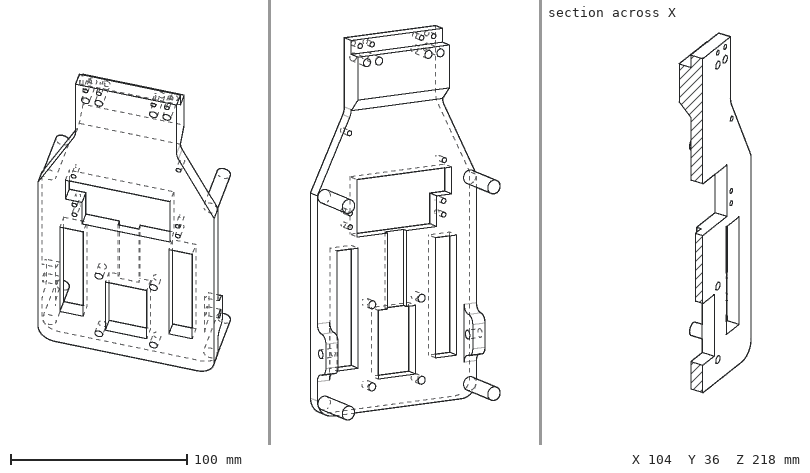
import cadquery as cq


plate_height = 218.0
plate_width = 104.0
plate_thickness = 8.0
neck_width = 59.7
shoulder_z = 130.0
neck_z = 175.3
corner_radius = 10.0

total_depth = 36.0
post_diameter = 8.0
post_spacing_x = 95.0
lower_post_z = 8.3
upper_post_z = 129.0

block_depth = 7.8
block_top_z = 210.0
block_lower_z = 184.9

ear_thickness = 8.0
ear_depth = 9.8
ear_height = 24.0
ear_center_z = 38.2
ear_radius = ear_depth / 2
ear_hole_diameter = 5.0
ear_hole_offset = 4.0

slot_width = 13.7
slot_inner_x = 25.3
slot_bottom_z = 26.0
slot_top_z = 96.1
center_window_width = 24.5
center_window_bottom_z = 18.0
center_window_top_z = 58.2
main_window_half_width = 26.0
main_window_bottom_z = 102.7
main_window_top_z = 136.2
main_window_step_x = -35.8
main_window_step_z = 120.5

channel_width = 12.2
channel_depth = 3.0

small_hole_diameter = 2.8
large_hole_diameter = 4.5
inner_hole_x = 16.1
outer_hole_x = 24.0
neck_small_hole_z = 214.0
neck_large_hole_z = 206.0
motor_hole_zs = (14.0, 62.0)
bracket_hole_x = 30.5
bracket_hole_zs = (109.0, 117.0)
diagonal_hole_x = 31.0
diagonal_hole_left_z = 140.8
diagonal_hole_right_z = 164.0


def box(x_min, x_max, y_min, y_max, z_min, z_max):
    """Box between the given limits."""
    size = (x_max - x_min, y_max - y_min, z_max - z_min)
    return cq.Workplane("XY").box(*size, centered=False).translate((x_min, y_min, z_min))


def cylinders(points, diameter, y_min, y_max):
    """Cylinders along Y, centered on the given (x, z) points."""
    plane = cq.Workplane("XZ", origin=(0, y_min, 0))
    return plane.pushPoints(points).circle(diameter / 2).extrude(y_min - y_max)


def window(x_min, x_max, z_min, z_max):
    """Cutter for a rectangular opening through the plate."""
    return box(x_min, x_max, 0, plate_thickness, z_min, z_max)


def make_plate():
    """Plate with rounded bottom corners and rounded inner corners below the neck."""
    half_width = plate_width / 2
    half_neck = neck_width / 2
    outline = [
        (-half_width, 0),
        (half_width, 0),
        (half_width, shoulder_z),
        (half_neck, neck_z),
        (half_neck, plate_height),
        (-half_neck, plate_height),
        (-half_neck, neck_z),
        (-half_width, shoulder_z),
    ]
    plate = cq.Workplane("XZ").polyline(outline).close().extrude(-plate_thickness)
    rounded_corners = [
        (-half_width, 0),
        (half_width, 0),
        (-half_neck, neck_z),
        (half_neck, neck_z),
    ]
    for x, z in rounded_corners:
        middle = (x, plate_thickness / 2, z)
        plate = plate.edges(cq.selectors.NearestToPointSelector(middle)).fillet(corner_radius)
    return plate


def make_neck_block():
    """Block as wide as the neck, with a 45 degree slope underneath."""
    profile = [
        (0, block_top_z),
        (plate_thickness + block_depth, block_top_z),
        (plate_thickness + block_depth, block_lower_z),
        (plate_thickness, block_lower_z - block_depth),
        (0, block_lower_z - block_depth),
    ]
    plane = cq.Workplane("YZ", origin=(-neck_width / 2, 0, 0))
    return plane.polyline(profile).close().extrude(neck_width)


def make_ear(x_min):
    """Ear with rounded tips that blends into the back face with arcs of the same radius."""
    root_y = plate_thickness
    middle_y = root_y + ear_radius
    tip_y = root_y + ear_depth
    bottom_z = ear_center_z - ear_height / 2
    top_z = ear_center_z + ear_height / 2
    ear = (
        cq.Workplane("YZ", origin=(x_min, 0, 0))
        .moveTo(root_y, bottom_z - ear_radius)
        .radiusArc((middle_y, bottom_z), ear_radius)
        .radiusArc((tip_y, bottom_z + ear_radius), -ear_radius)
        .lineTo(tip_y, top_z - ear_radius)
        .radiusArc((middle_y, top_z), -ear_radius)
        .radiusArc((root_y, top_z + ear_radius), ear_radius)
        .lineTo(0, top_z + ear_radius)
        .lineTo(0, bottom_z - ear_radius)
        .close()
        .extrude(ear_thickness)
    )
    hole = (
        cq.Workplane("YZ", origin=(x_min, 0, 0))
        .center(root_y + ear_hole_offset, ear_center_z)
        .circle(ear_hole_diameter / 2)
        .extrude(ear_thickness)
    )
    return ear.cut(hole)


def make_windows():
    """Cutter for all rectangular openings and the channel in the back face."""
    half_center = center_window_width / 2
    half_channel = channel_width / 2
    slot_outer_x = slot_inner_x + slot_width
    main = window(-main_window_half_width, main_window_half_width, main_window_bottom_z, main_window_top_z)
    step = window(main_window_step_x, 0, main_window_step_z, main_window_top_z)
    center = window(-half_center, half_center, center_window_bottom_z, center_window_top_z)
    left_slot = window(-slot_outer_x, -slot_inner_x, slot_bottom_z, slot_top_z)
    right_slot = window(slot_inner_x, slot_outer_x, slot_bottom_z, slot_top_z)
    channel = box(
        -half_channel, half_channel,
        plate_thickness - channel_depth, plate_thickness,
        center_window_top_z, main_window_bottom_z,
    )
    return main.union(step).union(center).union(left_slot).union(right_slot).union(channel)


def make_holes():
    """Cutter for all round holes along Y."""
    sides = (-1, 1)
    neck_xs = [side * x for side in sides for x in (inner_hole_x, outer_hole_x)]
    small_points = [(x, neck_small_hole_z) for x in neck_xs]
    small_points += [(side * bracket_hole_x, z) for side in sides for z in bracket_hole_zs]
    small_points += [(-diagonal_hole_x, diagonal_hole_left_z), (diagonal_hole_x, diagonal_hole_right_z)]
    large_points = [(x, neck_large_hole_z) for x in neck_xs]
    large_points += [(side * inner_hole_x, z) for side in sides for z in motor_hole_zs]
    small_holes = cylinders(small_points, small_hole_diameter, 0, total_depth)
    return small_holes.union(cylinders(large_points, large_hole_diameter, 0, total_depth))


def make_posts():
    """Four posts, rooted inside the plate so that they join it."""
    points = [
        (side * post_spacing_x / 2, z)
        for side in (-1, 1)
        for z in (lower_post_z, upper_post_z)
    ]
    return cylinders(points, post_diameter, plate_thickness / 2, total_depth)


result = make_plate().union(make_neck_block())
result = result.union(make_ear(-plate_width / 2))
result = result.union(make_ear(plate_width / 2 - ear_thickness))
result = result.cut(make_windows()).cut(make_holes())
result = result.union(make_posts())